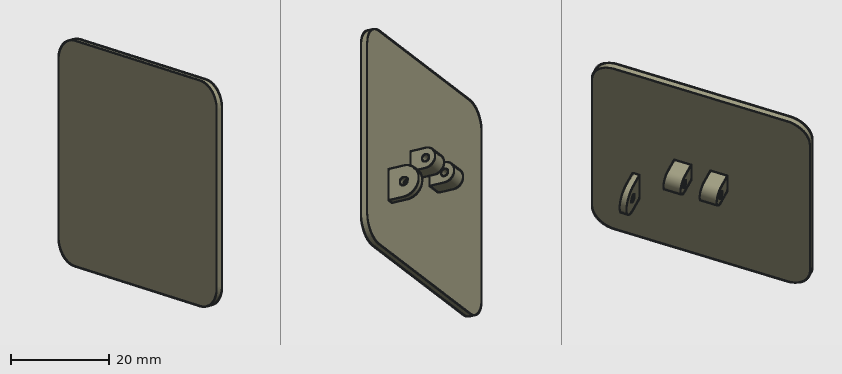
import cadquery as cq

plate_side = 48.0
plate_thickness = 1.5
corner_radius = 5.0

total_depth = 8.5
large_lug_radius = 3.5
hole_axis_y = total_depth - large_lug_radius

small_lug_radius = 2.25
small_lug_width = 3.75
small_lug_spacing = 7.95
small_hole_diameter = 1.65
small_lug_z = 0.0

large_lug_width = 1.5
large_lug_x = 14.25
large_hole_diameter = 1.8
large_lug_z = -9.0


def make_plate():
    """Square plate with rounded corners."""
    return (
        cq.Workplane("XZ")
        .rect(plate_side, plate_side)
        .extrude(-plate_thickness)
        .edges("|Y")
        .fillet(corner_radius)
    )


def make_lug(center_x, center_z, width, radius, hole_diameter):
    """Round-ended lug on the back of the plate, drilled through along X."""
    base_y = plate_thickness / 2
    profile = cq.Workplane("YZ", origin=(center_x - width / 2, 0, center_z))
    body = (
        profile.moveTo(base_y, -radius)
        .lineTo(hole_axis_y, -radius)
        .threePointArc((hole_axis_y + radius, 0), (hole_axis_y, radius))
        .lineTo(base_y, radius)
        .close()
        .extrude(width)
    )
    hole = profile.center(hole_axis_y, 0).circle(hole_diameter / 2).extrude(width)
    return body.cut(hole)


result = make_plate()
for side in (-1, 1):
    small_lug_x = side * small_lug_spacing / 2
    result = result.union(
        make_lug(small_lug_x, small_lug_z, small_lug_width, small_lug_radius, small_hole_diameter)
    )
result = result.union(
    make_lug(large_lug_x, large_lug_z, large_lug_width, large_lug_radius, large_hole_diameter)
)